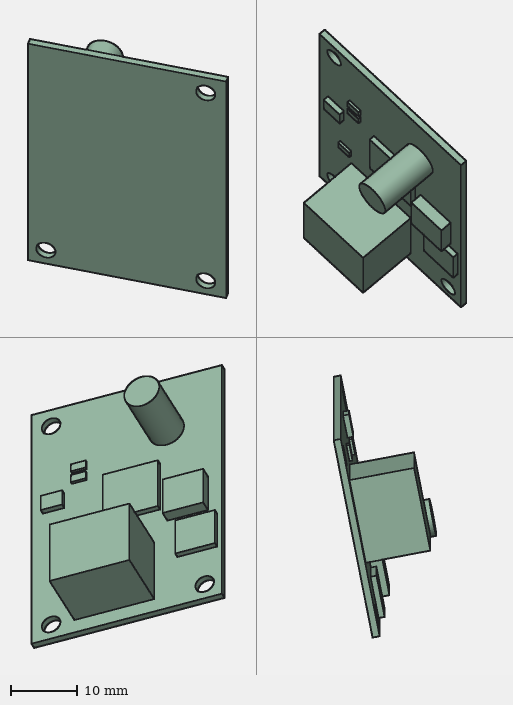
import cadquery as cq

BOARD_WIDTH = 31.0
BOARD_HEIGHT = 45.0
BOARD_THICKNESS = 1.1
TOTAL_DEPTH = 11.0

HOLE_DIAMETER = 3.0
HOLE_MARGIN = 2.8
HOLE_SPACING_X = 25.0
HOLE_SPACING_Z = 39.0

TALL_RISE = TOTAL_DEPTH - BOARD_THICKNESS
COIL_RISE = 1.93
CHIP_RISE = 0.9
RESISTOR_RISE = 0.45

CYLINDER_DIAMETER = 5.7
CYLINDER_X = 9.0
CYLINDER_Z = 35.0

BOX_WIDTH = 13.0
BOX_HEIGHT = 11.1
BOX_RIGHT = 24.0
BOX_BOTTOM = 2.43

COIL_SIDE = 6.6
COIL_LEFT = 2.25
COIL_BOTTOM = 17.18

SMALL_CHIP_SIDE = 6.5
SMALL_CHIP_LEFT = 0.75
SMALL_CHIP_BOTTOM = 9.5

LARGE_CHIP_SIDE = 9.0
LARGE_CHIP_RIGHT = 19.05
LARGE_CHIP_TOP = 28.75

LAMP_WIDTH = 3.5
LAMP_HEIGHT = 2.8
LAMP_LEFT = 25.62
LAMP_BOTTOM = 25.0

RESISTOR_WIDTH = 2.43
RESISTOR_HEIGHT = 1.38
UPPER_PAIR_LEFT = 21.97
LOWER_RESISTOR_LEFT = 24.0
RESISTOR_CORNERS = [
    (UPPER_PAIR_LEFT, 31.48),
    (UPPER_PAIR_LEFT, 29.35),
    (LOWER_RESISTOR_LEFT, 15.9),
]


def make_board():
    """Flat board with its three mounting holes."""
    board = cq.Workplane("XY").box(BOARD_WIDTH, BOARD_THICKNESS, BOARD_HEIGHT, centered=False)
    left = HOLE_MARGIN
    right = left + HOLE_SPACING_X
    lower = HOLE_MARGIN
    upper = lower + HOLE_SPACING_Z
    holes = (
        cq.Workplane("XZ")
        .pushPoints([(left, lower), (right, lower), (right, upper)])
        .circle(HOLE_DIAMETER / 2)
        .extrude(-BOARD_THICKNESS)
    )
    return board.cut(holes)


def make_block(left, bottom, width, height, rise):
    """Rectangular part standing on the board, rooted through its thickness."""
    return (
        cq.Workplane("XY")
        .box(width, BOARD_THICKNESS + rise, height, centered=False)
        .translate((left, 0, bottom))
    )


def make_cylinder():
    """Round part standing on the board, rooted through its thickness."""
    return (
        cq.Workplane("XZ")
        .center(CYLINDER_X, CYLINDER_Z)
        .circle(CYLINDER_DIAMETER / 2)
        .extrude(-TOTAL_DEPTH)
    )


def make_components():
    """All parts carried by the board."""
    box_left = BOX_RIGHT - BOX_WIDTH
    chip_left = LARGE_CHIP_RIGHT - LARGE_CHIP_SIDE
    chip_bottom = LARGE_CHIP_TOP - LARGE_CHIP_SIDE
    components = [
        make_cylinder(),
        make_block(box_left, BOX_BOTTOM, BOX_WIDTH, BOX_HEIGHT, TALL_RISE),
        make_block(COIL_LEFT, COIL_BOTTOM, COIL_SIDE, COIL_SIDE, COIL_RISE),
        make_block(SMALL_CHIP_LEFT, SMALL_CHIP_BOTTOM, SMALL_CHIP_SIDE, SMALL_CHIP_SIDE, CHIP_RISE),
        make_block(chip_left, chip_bottom, LARGE_CHIP_SIDE, LARGE_CHIP_SIDE, CHIP_RISE),
        make_block(LAMP_LEFT, LAMP_BOTTOM, LAMP_WIDTH, LAMP_HEIGHT, CHIP_RISE),
    ]
    for left, bottom in RESISTOR_CORNERS:
        components.append(make_block(left, bottom, RESISTOR_WIDTH, RESISTOR_HEIGHT, RESISTOR_RISE))
    return components


result = make_board()
for component in make_components():
    result = result.union(component)
result = result.clean()